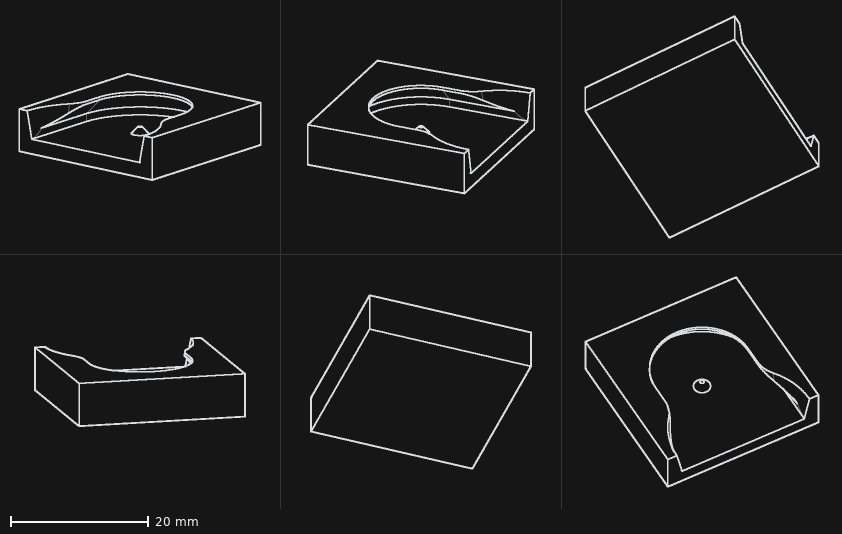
import cadquery as cq
import math

side = 25.0
height = 6.4
front_y = -side / 2

floor_z = 2.25
foot_radius = 10.15
lip_radius = 7.65
foot_height = 1.2
slope_height = foot_radius - lip_radius
foot_top_z = floor_z + foot_height
lip_z = foot_top_z + slope_height

entry_floor_radius = 10.12
entry_top_radius = 11.0
blend_radius = 4.65

bump_base_radius = 1.25
bump_top_radius = 0.3
bump_height = 1.0


def make_slot():
    half_profile = [
        (0, floor_z),
        (foot_radius, floor_z),
        (foot_radius, foot_top_z),
        (lip_radius, lip_z),
        (lip_radius, height),
        (0, height),
    ]
    rounded_end = cq.Workplane("XZ").polyline(half_profile).close().revolve(360, (0, 0), (0, 1))
    half_channel = cq.Workplane("XZ").polyline(half_profile).close().extrude(side / 2)
    return rounded_end.union(half_channel).union(half_channel.mirror("YZ"))


def entry_outline(radius, z):
    """Closed wire: entry arcs about the front edge, blended to the lip width."""
    blend_x = lip_radius + blend_radius
    reach = radius + blend_radius
    blend_y = front_y + math.sqrt(reach**2 - blend_x**2)
    tangent_angle = math.atan2(blend_y - front_y, blend_x)

    arc_end_x = radius * math.cos(tangent_angle)
    arc_end_y = front_y + radius * math.sin(tangent_angle)
    arc_mid_x = radius * math.cos(tangent_angle / 2)
    arc_mid_y = front_y + radius * math.sin(tangent_angle / 2)
    blend_mid_x = blend_x - blend_radius * math.cos(tangent_angle / 2)
    blend_mid_y = blend_y - blend_radius * math.sin(tangent_angle / 2)

    outline = (
        cq.Workplane("XY", origin=(0, 0, z))
        .moveTo(radius, front_y)
        .threePointArc((arc_mid_x, arc_mid_y), (arc_end_x, arc_end_y))
        .threePointArc((blend_mid_x, blend_mid_y), (lip_radius, blend_y))
        .lineTo(-lip_radius, blend_y)
        .threePointArc((-blend_mid_x, blend_mid_y), (-arc_end_x, arc_end_y))
        .threePointArc((-arc_mid_x, arc_mid_y), (-radius, front_y))
        .close()
    )
    return outline.val()


def make_entry():
    floor_outline = entry_outline(entry_floor_radius, floor_z)
    top_outline = entry_outline(entry_top_radius, height)
    return cq.Solid.makeLoft([floor_outline, top_outline], True)


def make_bump():
    return cq.Solid.makeCone(
        bump_base_radius, bump_top_radius, bump_height, pnt=cq.Vector(0, 0, floor_z)
    )


block = cq.Workplane("XY").box(side, side, height, centered=(True, True, False))
result = block.cut(make_slot()).cut(cq.Workplane(make_entry())).union(cq.Workplane(make_bump()))